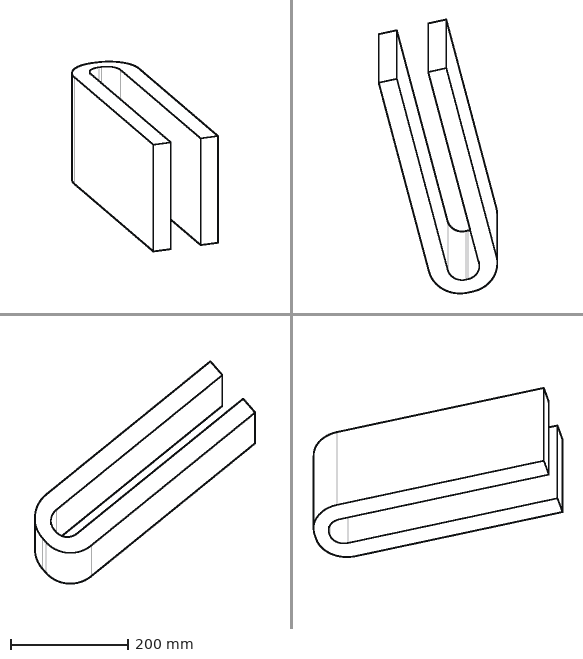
import cadquery as cq

length = 421.5
width = 119.0
height = 194.0

leg_thickness = 32.0
bend_thickness = 25.0
outer_radius = 55.0
slot_width = width - 2 * leg_thickness
slot_radius = 25.5
slot_length = length - bend_thickness

body = (
    cq.Workplane("XY")
    .box(length, width, height, centered=(False, True, False))
    .edges("|Z and <X")
    .fillet(outer_radius)
)

slot = (
    cq.Workplane("XY")
    .box(slot_length, slot_width, height, centered=(False, True, False))
    .edges("|Z and <X")
    .fillet(slot_radius)
    .translate((bend_thickness, 0, 0))
)

result = body.cut(slot)